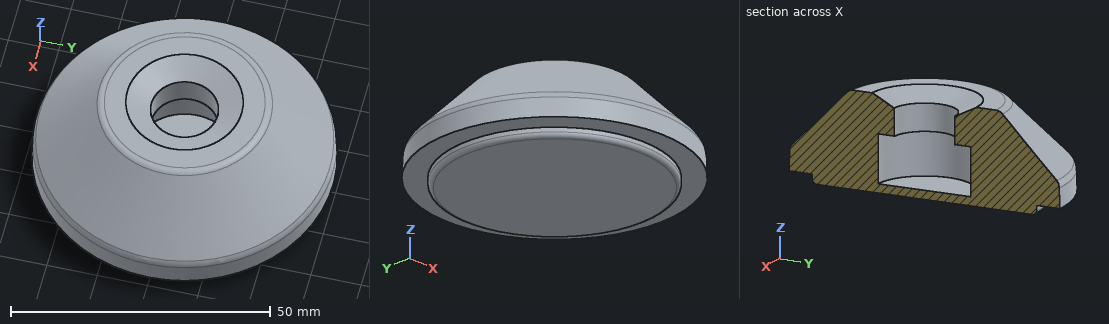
import cadquery as cq
import math

outer_radius = 29.5
total_height = 20.0
top_edge_radius = 16.35
rim_draft_angle = 2.0
edge_fillet = 2.0

step_radius = 24.5
step_height = 1.95
step_fillet = 1.0

sink_radius = 11.3
sink_depth = 2.5
hole_radius = 6.55
cavity_radius = 10.05
cavity_top_depth = 8.15

draft_slope = math.tan(math.radians(rim_draft_angle))
flank_base_radius = top_edge_radius + total_height - step_height
shoulder_rise = (flank_base_radius - outer_radius) / (1 - draft_slope)
shoulder_radius = outer_radius - shoulder_rise * draft_slope
shoulder_z = step_height + shoulder_rise

sink_bottom_z = total_height - sink_depth
cavity_top_z = total_height - cavity_top_depth
cavity_floor_z = step_height


def revolve_profile(points):
    """Solid of revolution about Z from (radius, height) points."""
    return cq.Workplane("XZ").polyline(points).close().revolve(360, (0, 0, 0), (0, 1, 0))


def make_body():
    """Conical disc with a drafted rim and rounded upper edges."""
    body = revolve_profile([
        (0, step_height),
        (outer_radius, step_height),
        (shoulder_radius, shoulder_z),
        (top_edge_radius, total_height),
        (0, total_height),
    ])
    return body.edges("%CIRCLE").edges("not <Z").fillet(edge_fillet)


def make_step():
    """Shallow disc with a rounded lower edge."""
    step = cq.Workplane("XY").circle(step_radius).extrude(step_height)
    return step.faces("<Z").edges().fillet(step_fillet)


def make_hole():
    """Cutter for the conical sink, the bore and the cavity below it."""
    return revolve_profile([
        (0, total_height),
        (sink_radius, total_height),
        (hole_radius, sink_bottom_z),
        (hole_radius, cavity_top_z),
        (cavity_radius, cavity_top_z),
        (cavity_radius, cavity_floor_z),
        (0, cavity_floor_z),
    ])


result = make_body().union(make_step()).cut(make_hole())